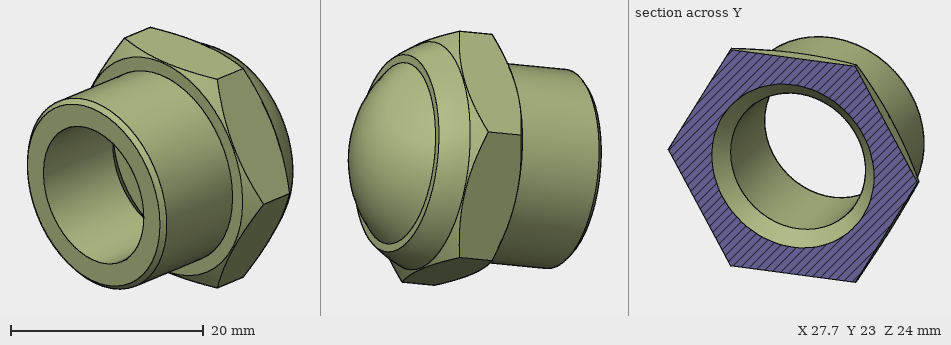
import cadquery as cq
import math

corner_width = 27.7
flat_width = corner_width * math.sqrt(3) / 2
total_length = 23.0

stem_length = 10.0
hex_length = 6.0
rim_height = 2.83
stem_chamfer = 0.5

stem_radius = 10.4
bore_radius = 7.48
chamfer_radius = flat_width / 2 - 0.1
chamfer_angle = 30.0
rim_base_radius = 11.9
rim_top_radius = 10.28
rim_sphere_radius = 12.85
dome_edge_radius = 9.45

stem_start = -total_length / 2
hex_start = stem_start + stem_length
hex_end = hex_start + hex_length
rim_end = hex_end + rim_height
seat_start = hex_start + (dome_edge_radius - bore_radius)
dome_tip = total_length / 2

dome_height = dome_tip - rim_end
dome_radius = (dome_edge_radius**2 + dome_height**2) / (2 * dome_height)
dome_center = dome_tip - dome_radius


def revolve_about_y(profile):
    """Turn a closed half-profile, drawn as (radius, Y), about the Y axis."""
    return profile.close().revolve(360, (0, 0, 0), (0, 1, 0))


def make_hexagon():
    """Hexagon with its corners turned down to a cone at both ends."""
    prism = (
        cq.Workplane("XZ", origin=(0, hex_start, 0))
        .polygon(6, corner_width)
        .extrude(-hex_length)
    )
    corner_radius = corner_width / 2
    drop = (corner_radius - chamfer_radius) * math.tan(math.radians(chamfer_angle))
    envelope = revolve_about_y(
        cq.Workplane("XY")
        .moveTo(0, hex_start)
        .lineTo(chamfer_radius, hex_start)
        .lineTo(corner_radius, hex_start + drop)
        .lineTo(corner_radius, hex_end - drop)
        .lineTo(chamfer_radius, hex_end)
        .lineTo(0, hex_end)
    )
    return prism.intersect(envelope)


def make_stem():
    """Round spigot with its open end chamfered."""
    return revolve_about_y(
        cq.Workplane("XY")
        .moveTo(0, stem_start)
        .lineTo(stem_radius - stem_chamfer, stem_start)
        .lineTo(stem_radius, stem_start + stem_chamfer)
        .lineTo(stem_radius, hex_start)
        .lineTo(0, hex_start)
    )


def make_rim():
    """Collar with a bulging side that holds the dome."""
    chord_r = rim_base_radius - rim_top_radius
    chord = math.hypot(chord_r, rim_height)
    bulge = rim_sphere_radius - math.sqrt(rim_sphere_radius**2 - (chord / 2) ** 2)
    bulge_point = (
        (rim_base_radius + rim_top_radius) / 2 + bulge * rim_height / chord,
        (hex_end + rim_end) / 2 + bulge * chord_r / chord,
    )
    return revolve_about_y(
        cq.Workplane("XY")
        .moveTo(0, hex_end)
        .lineTo(rim_base_radius, hex_end)
        .threePointArc(bulge_point, (rim_top_radius, rim_end))
        .lineTo(0, rim_end)
    )


def make_plug():
    """Housing with a bore that flares at 45 degrees into a round seat for the dome."""
    solid = make_stem().union(make_hexagon()).union(make_rim())
    passage = revolve_about_y(
        cq.Workplane("XY")
        .moveTo(0, stem_start)
        .lineTo(bore_radius, stem_start)
        .lineTo(bore_radius, hex_start)
        .lineTo(dome_edge_radius, seat_start)
        .lineTo(dome_edge_radius, rim_end)
        .lineTo(0, rim_end)
    )
    return solid.cut(passage).solids()


def make_dome():
    """Insert with a cylindrical foot in the seat and a spherical cap above the rim."""
    arc_angle = math.asin(dome_edge_radius / dome_radius) / 2
    arc_point = (
        dome_radius * math.sin(arc_angle),
        dome_center + dome_radius * math.cos(arc_angle),
    )
    return revolve_about_y(
        cq.Workplane("XY")
        .moveTo(0, seat_start)
        .lineTo(dome_edge_radius, seat_start)
        .lineTo(dome_edge_radius, rim_end)
        .threePointArc(arc_point, (0, dome_tip))
    )


plug = make_plug()
dome = make_dome()
result = cq.Compound.makeCompound([plug.val(), dome.val()])